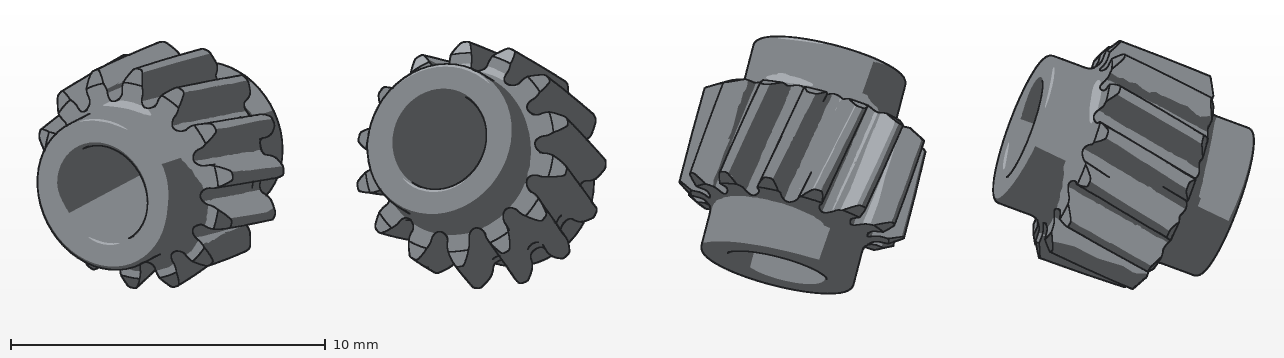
import cadquery as cq
import math


TOTAL_LENGTH = 7.0
HUB_RADIUS = 5.0 / 2
BORE_RADIUS = 3.2 / 2
HUB_EDGE_FILLET = 0.15
GEAR_WIDTH = 3.5
SHOULDER_FILLET = 0.5
TIP_CHAMFER_DEPTH = 0.435
TIP_CHAMFER_ANGLE = 30.0

TOOTH_COUNT = 14
TIP_RADIUS = 3.68
BASE_RADIUS = 3.01
ROOT_RADIUS = 2.65
ROOT_ROUND_END = 2.915
BASE_TOOTH_HALF_ANGLE = 7.3
FLANK_END_RADIUS = 3.61
TIP_LAND_HALF_WIDTH = 0.06
TIP_ROUNDING = 0.15
HELIX_LEAD = 103.41
TOOTH_ANGLE = 83.1
FLANK_POINTS = 6
CUT_MARGIN = 0.22

HALF_LENGTH = TOTAL_LENGTH / 2
HALF_WIDTH = GEAR_WIDTH / 2
SHOULDER_END = HALF_WIDTH + SHOULDER_FILLET
TOOTH_PITCH = 360 / TOOTH_COUNT
BASE_GAP_HALF_ANGLE = math.radians(TOOTH_PITCH / 2 - BASE_TOOTH_HALF_ANGLE)


def across(point):
    """Mirror a point about the local X axis."""
    return (point[0], -point[1])


def make_blank():
    """Revolve the outline of the toothless body about Y and round the hub edges."""
    chamfer_width = TIP_CHAMFER_DEPTH * math.tan(math.radians(TIP_CHAMFER_ANGLE))
    chamfer_start = (TIP_RADIUS, HALF_WIDTH - chamfer_width)
    chamfer_end = (TIP_RADIUS - TIP_CHAMFER_DEPTH, HALF_WIDTH)
    shoulder_face_end = (HUB_RADIUS + SHOULDER_FILLET, HALF_WIDTH)
    shoulder_hub_end = (HUB_RADIUS, SHOULDER_END)
    return (
        cq.Workplane("XY")
        .moveTo(BORE_RADIUS, -HALF_LENGTH)
        .lineTo(HUB_RADIUS, -HALF_LENGTH)
        .lineTo(*across(shoulder_hub_end))
        .radiusArc(across(shoulder_face_end), SHOULDER_FILLET)
        .lineTo(*across(chamfer_end))
        .lineTo(*across(chamfer_start))
        .lineTo(*chamfer_start)
        .lineTo(*chamfer_end)
        .lineTo(*shoulder_face_end)
        .radiusArc(shoulder_hub_end, SHOULDER_FILLET)
        .lineTo(HUB_RADIUS, HALF_LENGTH)
        .lineTo(BORE_RADIUS, HALF_LENGTH)
        .close()
        .revolve(360, (0, 0, 0), (0, 1, 0))
        .faces("<Y or >Y")
        .edges()
        .fillet(HUB_EDGE_FILLET)
    )


def polar(radius, angle):
    """Point at the angle (radians) from the gap centre line, which points along local +X."""
    return (radius * math.cos(angle), radius * math.sin(angle))


def flank_point(radius):
    """Point of the involute flank on the positive side of a gap."""
    pressure_angle = math.acos(BASE_RADIUS / radius)
    involute = math.tan(pressure_angle) - pressure_angle
    return polar(radius, BASE_GAP_HALF_ANGLE + involute)


def make_gap_cutter():
    """Helical cutter for one tooth gap: round root, involute flanks, rounded tips.

    Below the base circle each flank runs on radially to the round root.
    """
    radius_step = (FLANK_END_RADIUS - BASE_RADIUS) / (FLANK_POINTS - 1)
    root_end = polar(ROOT_ROUND_END, BASE_GAP_HALF_ANGLE)
    involute = [flank_point(BASE_RADIUS + i * radius_step) for i in range(FLANK_POINTS)]
    flank = [root_end] + involute
    land_angle = math.radians(TOOTH_PITCH / 2) - TIP_LAND_HALF_WIDTH / TIP_RADIUS
    land = polar(TIP_RADIUS, land_angle)
    outer = polar(TIP_RADIUS + CUT_MARGIN, land_angle)
    other_flank = [across(point) for point in reversed(flank)]
    cut_length = 2 * SHOULDER_END
    twist = 360 * cut_length / HELIX_LEAD
    profile = (
        cq.Workplane("XZ", origin=(0, SHOULDER_END, 0))
        .moveTo(*flank[0])
        .spline(flank[1:], includeCurrent=True)
        .radiusArc(land, -TIP_ROUNDING)
        .lineTo(*outer)
        .lineTo(*across(outer))
        .lineTo(*across(land))
        .radiusArc(other_flank[0], -TIP_ROUNDING)
        .spline(other_flank[1:], includeCurrent=True)
        .threePointArc((ROOT_RADIUS, 0), root_end)
        .close()
    )
    cutter = profile.twistExtrude(cut_length, twist)
    first_gap_angle = TOOTH_ANGLE + TOOTH_PITCH / 2 - twist / 2
    return cutter.rotate((0, 0, 0), (0, -1, 0), first_gap_angle)


def cut_gaps(body):
    """Cut all tooth gaps, evenly spaced around the axis."""
    cutter = make_gap_cutter().val()
    gaps = [
        cutter.rotate((0, 0, 0), (0, -1, 0), i * TOOTH_PITCH)
        for i in range(TOOTH_COUNT)
    ]
    return cq.Workplane(body.val().cut(*gaps))


result = cut_gaps(make_blank())